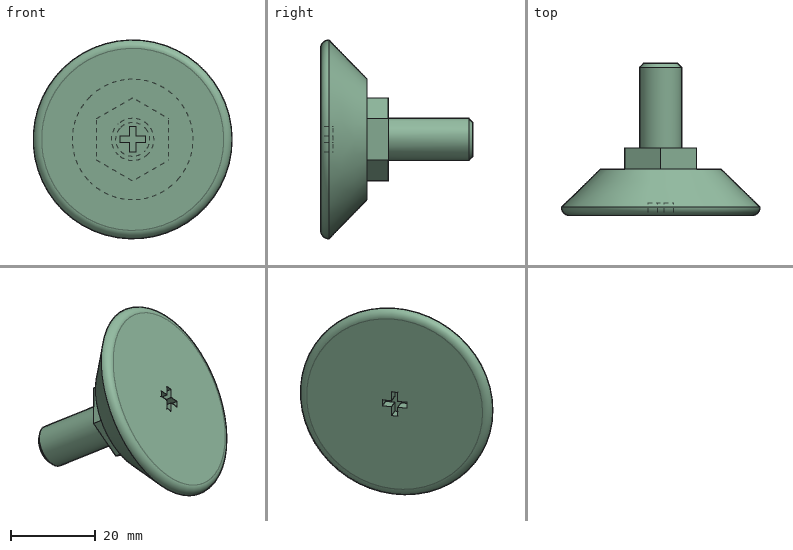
import cadquery as cq

plate_diameter = 47.0
rim_radius = 2.0
cone_height = 9.0
cone_top_diameter = 28.5

hex_across_flats = 17.0
hex_height = 5.0

stud_diameter = 10.0
stud_length = 20.0
stud_chamfer = 1.0

cross_length = 6.0
cross_width = 1.5
cross_depth = 3.0

plate_height = rim_radius + cone_height
hex_top = plate_height + hex_height


def plane_at(y):
    """Plane normal to the part axis at height y, local x along X and normal along +Y."""
    return cq.Workplane(cq.Plane(origin=(0, y, 0), xDir=(1, 0, 0), normal=(0, 1, 0)))


def make_plate():
    """Conical plate with a quarter-round rim around the sole."""
    plate_radius = plate_diameter / 2
    sole_radius = plate_radius - rim_radius
    rim_tangent = (plate_radius, rim_radius)
    profile = (
        cq.Workplane("XY")
        .lineTo(sole_radius, 0)
        .radiusArc(rim_tangent, -rim_radius)
        .lineTo(cone_top_diameter / 2, plate_height)
        .lineTo(0, plate_height)
        .close()
    )
    return profile.revolve(360, (0, 0, 0), (0, 1, 0))


def make_hexagon():
    """Hexagonal prism with two corners on the Z axis."""
    return (
        plane_at(plate_height)
        .polygon(6, hex_across_flats, circumscribed=True)
        .extrude(hex_height)
    )


def make_stud():
    """Round stud with a chamfered free end."""
    stud = plane_at(hex_top).circle(stud_diameter / 2).extrude(stud_length)
    return stud.faces(">Y").chamfer(stud_chamfer)


def make_cross_recess():
    """Two crossed bars sunk into the sole."""
    bar_along_x = plane_at(0).rect(cross_length, cross_width).extrude(cross_depth)
    bar_along_z = plane_at(0).rect(cross_width, cross_length).extrude(cross_depth)
    return bar_along_x.union(bar_along_z)


result = make_plate().union(make_hexagon()).union(make_stud()).cut(make_cross_recess())